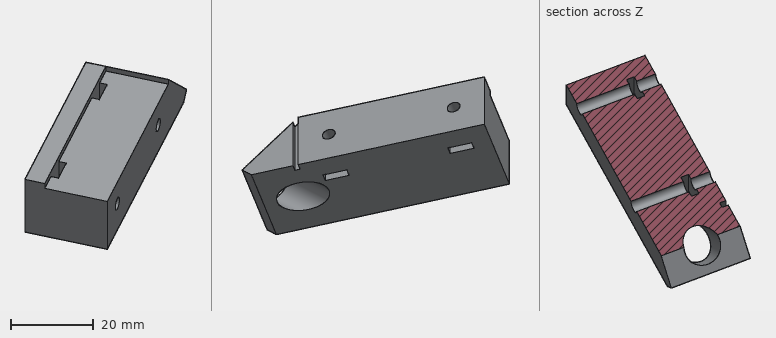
import math

import cadquery as cq

width = 21.0
height = 16.5
body_length = 47.0

slope_length = 20.0
slope_cosine = math.cos(math.radians(45))
slope_run = slope_length * slope_cosine
total_length = body_length + slope_run
tip_height = height - slope_run

rail_width = 5.1
step_depth = 1.5

groove_depth = 1.6
groove_width = 1.3

cross_hole_diameter = 3.2
cross_hole_spacing = 31.5
cross_hole_z = height / 2
nut_slot_width = 1.9
nut_slot_length = 6.0

nose_hole_diameter = 9.25
nose_hole_from_tip = 7.0


def make_block():
    """Side profile in the YZ plane, extruded along X."""
    profile = [
        (0, 0),
        (total_length - tip_height, 0),
        (total_length, tip_height),
        (body_length, height),
        (0, height),
    ]
    return cq.Workplane("YZ").polyline(profile).close().extrude(width)


def make_box(x, y, z, size_x, size_y, size_z):
    """Box with its lowest corner at (x, y, z)."""
    return cq.Workplane("XY").box(size_x, size_y, size_z, centered=False).translate((x, y, z))


def make_top_step():
    """Material removed from the top face beside the rail."""
    return make_box(rail_width, 0, height - step_depth, width - rail_width, body_length, step_depth)


def make_groove():
    """Full-height groove on the +Y side of the body end."""
    return make_box(0, body_length, 0, groove_depth, groove_width, height)


def make_cross_fastener(y):
    """Cross hole together with its nut slot, both centred at the given Y."""
    hole = (
        cq.Workplane("YZ")
        .center(y, cross_hole_z)
        .circle(cross_hole_diameter / 2)
        .extrude(width)
    )
    slot = make_box(rail_width, y - nut_slot_length / 2, 0, nut_slot_width, nut_slot_length, height)
    return hole.union(slot)


def make_nose_hole():
    """Cylinder along the slope normal, long enough to leave through the bottom face."""
    offset = nose_hole_from_tip * slope_cosine
    slope_plane = cq.Plane(
        origin=(width / 2, total_length - offset, tip_height + offset),
        xDir=(1, 0, 0),
        normal=(0, 1, 1),
    )
    return cq.Workplane(slope_plane).circle(nose_hole_diameter / 2).extrude(-2 * height)


result = make_block()
result = result.cut(make_top_step())
result = result.cut(make_groove())
for side in (-1, 1):
    result = result.cut(make_cross_fastener(body_length / 2 + side * cross_hole_spacing / 2))
result = result.cut(make_nose_hole())